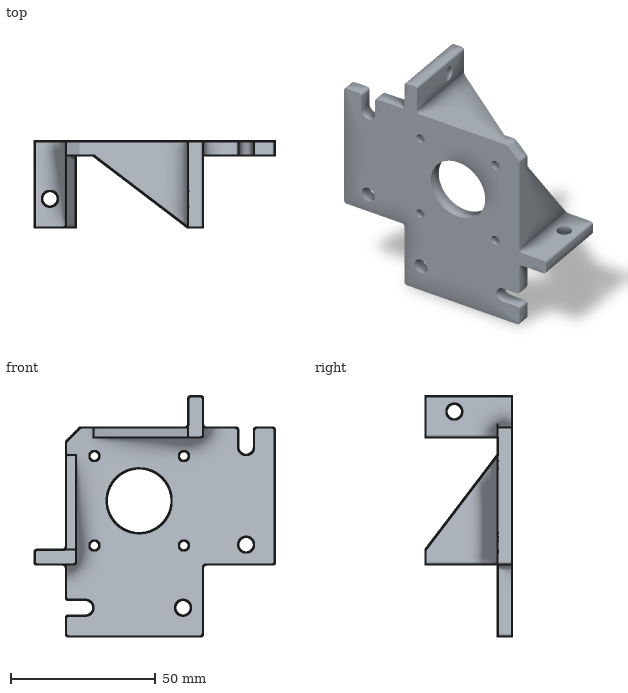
import cadquery as cq


plate_thickness = 5.0
near_edge = 25.4
far_edge = 47.05
notch_edge = 22.15
corner_chamfer = 5.0
edge_radius = 1.0

tab_depth = 30.0
tab_thickness = 5.2
tab_reach = 10.85
gusset_thickness = 3.5
gusset_start = 15.9
tab_hole_from_edge = 5.5
tab_hole_from_rear = 20.0

motor_bore = 22.4
motor_screw_hole = 3.4
motor_screw_spacing = 31.0

mount_hole = 5.4
mount_from_far_edge = 10.0
mount_hole_offset = 15.2
slot_end_offset = 18.6

diagonal = cq.Vector(1, 0, 1)
mount_line = far_edge - mount_from_far_edge


def front_sketch():
    """Sketch plane with local x = X, local y = Z, extruding towards -Y."""
    return cq.Workplane("XZ")


def with_mirror(body):
    """Join a body with its reflection in the plane x = -z."""
    return body.union(body.mirror(diagonal))


def plate():
    """L-shaped plate with a chamfered top-left corner."""
    outline = [
        (-near_edge, -far_edge),
        (notch_edge, -far_edge),
        (notch_edge, -notch_edge),
        (far_edge, -notch_edge),
        (far_edge, near_edge),
        (corner_chamfer - near_edge, near_edge),
        (-near_edge, near_edge - corner_chamfer),
    ]
    return front_sketch().polyline(outline).close().extrude(plate_thickness)


def slot():
    """Open slot with a round inner end, running in from the left edge."""
    radius = mount_hole / 2
    return (
        front_sketch()
        .moveTo(-near_edge, -mount_line - radius)
        .lineTo(-slot_end_offset, -mount_line - radius)
        .threePointArc(
            (-slot_end_offset + radius, -mount_line),
            (-slot_end_offset, -mount_line + radius),
        )
        .lineTo(-near_edge, -mount_line + radius)
        .close()
        .extrude(plate_thickness)
    )


def tab():
    """Horizontal tab on the left edge, flush with the notch edge below."""
    width = tab_reach + gusset_thickness
    return (
        front_sketch()
        .center(-near_edge - tab_reach + width / 2, -notch_edge + tab_thickness / 2)
        .rect(width, tab_thickness)
        .extrude(tab_depth)
    )


def gusset():
    """Triangular wall along the left edge, bracing the tab."""
    tab_top = tab_thickness - notch_edge
    outline = [
        (0, tab_top),
        (-tab_depth, tab_top),
        (-plate_thickness, gusset_start),
        (0, gusset_start),
    ]
    return (
        cq.Workplane("YZ", origin=(-near_edge, 0, 0))
        .polyline(outline)
        .close()
        .extrude(gusset_thickness)
    )


def tab_hole():
    """Vertical hole through the left tab."""
    return (
        cq.Workplane("XY", origin=(0, 0, -notch_edge))
        .center(-near_edge - tab_hole_from_edge, -tab_hole_from_rear)
        .circle(mount_hole / 2)
        .extrude(tab_thickness)
    )


def plate_mount_hole():
    """Hole through the plate near its bottom edge."""
    return (
        front_sketch()
        .center(mount_hole_offset, -mount_line)
        .circle(mount_hole / 2)
        .extrude(plate_thickness)
    )


def motor_holes():
    """Central bore and the four screw holes around it."""
    screws = (
        front_sketch()
        .rect(motor_screw_spacing, motor_screw_spacing, forConstruction=True)
        .vertices()
        .circle(motor_screw_hole / 2)
        .extrude(plate_thickness)
    )
    bore = front_sketch().circle(motor_bore / 2).extrude(plate_thickness)
    return screws.union(bore)


def slot_mouth(x, z):
    """Selector for the edges around a slot mouth centred at (x, z) on the plate's rim."""
    reach = mount_hole / 2 + edge_radius
    return cq.selectors.BoxSelector(
        (x - reach, -plate_thickness, z - reach),
        (x + reach, 0, z + reach),
    )


def rounded_blank():
    """Plate, tabs and gussets with all corners along Y rounded."""
    blank = plate().union(with_mirror(tab().union(gusset())))
    return blank.edges("|Y").fillet(edge_radius)


def with_slots(body):
    """Cut both slots and round the corners of their mouths."""
    slotted = body.cut(with_mirror(slot()))
    mouths = slot_mouth(-near_edge, -mount_line) + slot_mouth(mount_line, near_edge)
    return slotted.edges("|Y").edges(mouths).fillet(edge_radius)


result = (
    with_slots(rounded_blank())
    .cut(motor_holes())
    .cut(with_mirror(plate_mount_hole()))
    .cut(with_mirror(tab_hole()))
)